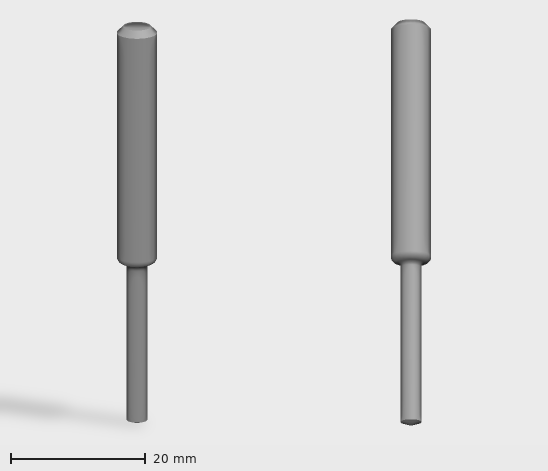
import cadquery as cq
import math

total_length = 62.0
shank_diameter = 6.0
neck_diameter = 3.1
tip_length = 9.85
point_angle = 140.0
shank_straight_start = 26.05
shoulder_radius = 1.0
neck_fillet_radius = 0.6
top_chamfer_height = 1.0
top_chamfer_inset = 0.9

shank_radius = shank_diameter / 2
neck_radius = neck_diameter / 2
point_height = neck_radius / math.tan(math.radians(point_angle / 2))
point_z = -total_length / 2
top_z = total_length / 2
joint_z = point_z + tip_length
shank_start_z = point_z + shank_straight_start

shoulder_center_r = shank_radius - shoulder_radius
fillet_center_r = neck_radius + neck_fillet_radius
center_distance = shoulder_radius + neck_fillet_radius
center_offset = fillet_center_r - shoulder_center_r
fillet_center_z = shank_start_z - math.sqrt(center_distance**2 - center_offset**2)
tangent_angle = math.degrees(math.atan2(fillet_center_z - shank_start_z, center_offset))


def revolve_about_z(profile):
    """Revolve a closed half profile in the XZ plane about the Z axis."""
    return profile.close().revolve(360, (0, 0, 0), (0, 1, 0))


def point_on_circle(center, radius, angle):
    """Point on a circle in the (radius, height) plane, at an angle in degrees."""
    turn = math.radians(angle)
    return (center[0] + radius * math.cos(turn), center[1] + radius * math.sin(turn))


def make_shank():
    """Shank with a chamfered top, a rounded shoulder and a filleted neck."""
    shoulder_center = (shoulder_center_r, shank_start_z)
    fillet_center = (fillet_center_r, fillet_center_z)
    neck_angle = 180
    fillet_mid_angle = (neck_angle + tangent_angle + 180) / 2
    fillet_mid = point_on_circle(fillet_center, neck_fillet_radius, fillet_mid_angle)
    tangent_point = point_on_circle(shoulder_center, shoulder_radius, tangent_angle)
    shoulder_mid = point_on_circle(shoulder_center, shoulder_radius, tangent_angle / 2)
    profile = (
        cq.Workplane("XZ")
        .moveTo(0, joint_z)
        .lineTo(neck_radius, joint_z)
        .lineTo(neck_radius, fillet_center_z)
        .threePointArc(fillet_mid, tangent_point)
        .threePointArc(shoulder_mid, (shank_radius, shank_start_z))
        .lineTo(shank_radius, top_z - top_chamfer_height)
        .lineTo(shank_radius - top_chamfer_inset, top_z)
        .lineTo(0, top_z)
    )
    return revolve_about_z(profile)


def make_tip():
    """Cylindrical tip with a shallow conical point, butted against the neck."""
    profile = (
        cq.Workplane("XZ")
        .moveTo(0, point_z)
        .lineTo(neck_radius, point_z + point_height)
        .lineTo(neck_radius, joint_z)
        .lineTo(0, joint_z)
    )
    return revolve_about_z(profile)


shank = make_shank()
tip = make_tip()
result = cq.Compound.makeCompound([shank.val(), tip.val()])